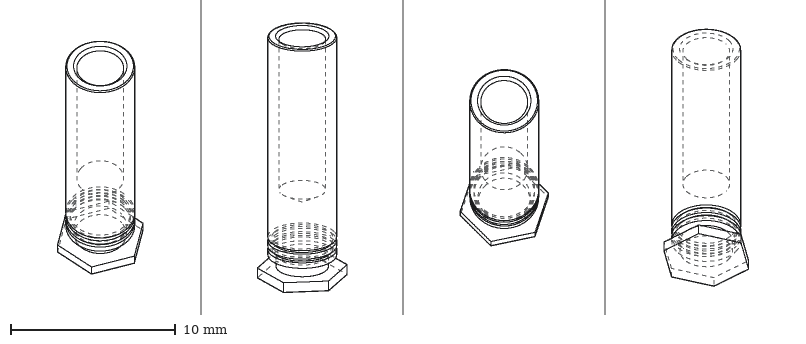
import cadquery as cq
import math

total_height = 15.88
head_across_flats = 4.75
head_across_corners = head_across_flats / math.cos(math.radians(30))
head_height = 0.65

body_diameter = 4.2
neck_diameter = 3.18
neck_top = 1.43
top_chamfer = 0.08

groove_diameter = 3.68
groove_width = 0.24
groove_bottoms = (1.8, 2.37)

bore_diameter = 2.85
bore_depth = 10.16
drill_point_angle = 120.0
mouth_diameter = 3.24
mouth_angle = 90.0


def cone_height(radial_change, included_angle):
    """Height over which a cone changes its radius by the given amount."""
    return radial_change / math.tan(math.radians(included_angle / 2))


def cylinder(diameter, bottom, top):
    """Upright cylinder on the part axis."""
    return cq.Workplane("XY").workplane(offset=bottom).circle(diameter / 2).extrude(top - bottom)


def make_head():
    """Hexagonal head with two corners on the X axis."""
    return cq.Workplane("XY").polygon(6, head_across_corners).extrude(head_height)


def make_body():
    """Cylindrical body with a chamfered top rim and ring grooves."""
    body = cylinder(body_diameter, neck_top, total_height).faces(">Z").edges().chamfer(top_chamfer)
    for bottom in groove_bottoms:
        top = bottom + groove_width
        ring = cylinder(body_diameter, bottom, top).cut(cylinder(groove_diameter, bottom, top))
        body = body.cut(ring)
    return body


def make_bore():
    """Space removed by the drill and the countersink at the mouth."""
    bore_radius = bore_diameter / 2
    mouth_radius = mouth_diameter / 2
    wall_bottom = total_height - bore_depth
    wall_top = total_height - cone_height(mouth_radius - bore_radius, mouth_angle)
    tip = wall_bottom - cone_height(bore_radius, drill_point_angle)
    half_profile = [
        (0, tip),
        (bore_radius, wall_bottom),
        (bore_radius, wall_top),
        (mouth_radius, total_height),
        (0, total_height),
    ]
    return cq.Workplane("XZ").polyline(half_profile).close().revolve(360, (0, 0, 0), (0, 1, 0))


neck = cylinder(neck_diameter, head_height, neck_top)
result = make_head().union(neck).union(make_body()).cut(make_bore())